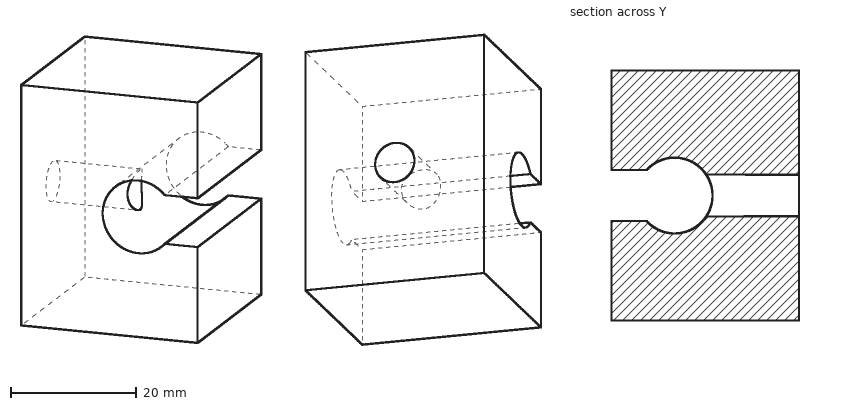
import cadquery as cq

block_length = 30.0
block_width = 30.0
block_height = 40.0

bore_inset = 10.1
bore_diameter = 12.1
slot_height = 8.1
bore_x = block_length / 2 - bore_inset

screw_hole_diameter = 6.6


def make_block():
    return cq.Workplane("XY").box(block_length, block_width, block_height)


def make_keyhole_channel():
    """Round bore joined to a narrower slot that reaches the +X face."""
    bore = (
        cq.Workplane("XZ")
        .center(bore_x, 0)
        .circle(bore_diameter / 2)
        .extrude(block_width / 2, both=True)
    )
    slot = (
        cq.Workplane("XY")
        .box(bore_inset, block_width, slot_height)
        .translate((bore_x + bore_inset / 2, 0, 0))
    )
    return bore.union(slot)


def make_screw_hole():
    """Cylinder from the -X face to the bore axis."""
    return (
        cq.Workplane("YZ", origin=(-block_length / 2, 0, 0))
        .circle(screw_hole_diameter / 2)
        .extrude(block_length / 2 + bore_x)
    )


result = make_block().cut(make_keyhole_channel()).cut(make_screw_hole())